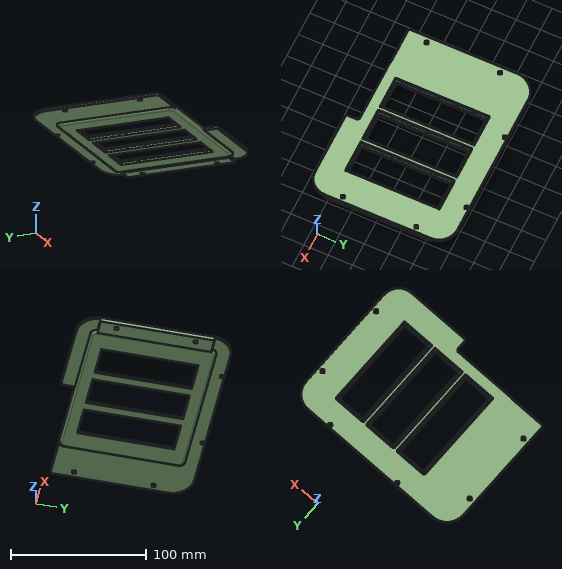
import cadquery as cq

length = 153.8
width = 116.5
height = 4.5

plate_thickness = 2.0
plate_bottom = height - plate_thickness
step_x = 85.7
step_y = 10.8
left_corner_radius = 16.6
right_corner_radius = 15.1
small_radius = 2.0

pad_left = 28.0
pad_right = 143.1
pad_front = 10.6
pad_back = 105.8
pad_corner_radius = 4.5
pad_depth = 2.0
pad_bottom = plate_bottom - pad_depth
pad_rim_radius = pad_depth

block_left = 142.5
block_front = pad_front + pad_corner_radius
block_back = pad_back - pad_corner_radius

window_count = 3
window_pitch = 30.0
recess_left = 41.8
recess_front = 20.0
recess_length = 27.0
recess_width = 76.6
recess_depth = plate_thickness
ledge_left = 2.2
ledge = 1.7

hole_diameter = 3.0
side_hole_xs = (4.8, 149.7)
side_hole_ys = (27.8, 87.8)
back_hole_xs = (52.8, 118.8)
back_hole_y = 114.5


def box_between(x_min, x_max, y_min, y_max, z_min, z_max):
    """Box given by its limits along each axis."""
    return (
        cq.Workplane("XY", origin=(x_min, y_min, z_min))
        .box(x_max - x_min, y_max - y_min, z_max - z_min, centered=False)
    )


def corner(x, y):
    """Selector for the upright plate edge nearest to a corner of the outline."""
    return cq.selectors.NearestToPointSelector((x, y, plate_bottom + plate_thickness / 2))


def make_plate():
    outline = [(0, step_y), (step_x, step_y), (step_x, 0), (length, 0), (length, width), (0, width)]
    corner_radii = [
        small_radius, small_radius, small_radius,
        right_corner_radius, right_corner_radius, left_corner_radius,
    ]
    plate = (
        cq.Workplane("XY", origin=(0, 0, plate_bottom))
        .polyline(outline)
        .close()
        .extrude(plate_thickness)
    )
    for (x, y), radius in zip(outline, corner_radii):
        plate = plate.edges("|Z").edges(corner(x, y)).fillet(radius)
    return plate


def make_pad():
    """Pad that reaches up through the plate, so the rim rounding can use its full depth."""
    return (
        box_between(pad_left, pad_right, pad_front, pad_back, pad_bottom, height)
        .edges("|Z").fillet(pad_corner_radius)
        .faces("<Z").edges().fillet(pad_rim_radius)
    )


def make_block():
    return box_between(block_left, length, block_front, block_back, 0, plate_bottom)


def make_window(left):
    right = left + recess_length
    back = recess_front + recess_width
    recess = box_between(left, right, recess_front, back, height - recess_depth, height)
    opening = box_between(
        left + ledge_left, right - ledge,
        recess_front + ledge, back - ledge,
        0, height,
    )
    return recess.union(opening)


def make_holes():
    side_holes = [(x, y) for x in side_hole_xs for y in side_hole_ys]
    back_holes = [(x, back_hole_y) for x in back_hole_xs]
    return (
        cq.Workplane("XY")
        .pushPoints(side_holes + back_holes)
        .circle(hole_diameter / 2)
        .extrude(height)
    )


result = make_plate().union(make_pad()).union(make_block())
for index in range(window_count):
    result = result.cut(make_window(recess_left + index * window_pitch))
result = result.cut(make_holes())